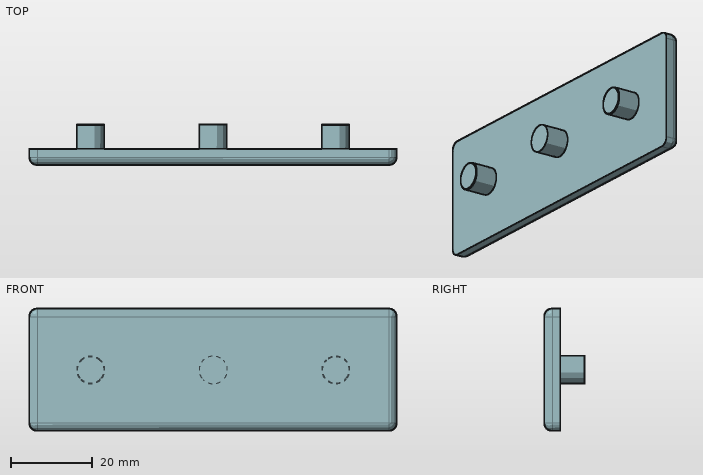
import cadquery as cq

plate_length = 90
plate_height = plate_length / 3
plate_thickness = 4.0
edge_radius = plate_thickness / 2

peg_diameter = 6.8
peg_length = 6.0
peg_spacing = plate_length / 3
peg_end_chamfer = 0.2


def make_plate():
    """Plate with rounded corners and an equally rounded front rim."""
    block = cq.Workplane("XY").box(
        plate_length, plate_thickness, plate_height, centered=(True, False, True)
    )
    block = block.translate((0, -plate_thickness, 0))
    return block.edges("|Y or <Y").fillet(edge_radius)


def make_peg(x):
    """Plain cylinder along +Y, starting at the back of the plate."""
    return cq.Workplane("XZ", origin=(x, 0, 0)).circle(peg_diameter / 2).extrude(-peg_length)


def chamfer_peg_end(peg):
    """Break the rim of the free end of a peg."""
    return peg.faces(">Y").chamfer(peg_end_chamfer)


result = make_plate().union(make_peg(0))
for x in (-peg_spacing, peg_spacing):
    result = result.union(chamfer_peg_end(make_peg(x)))